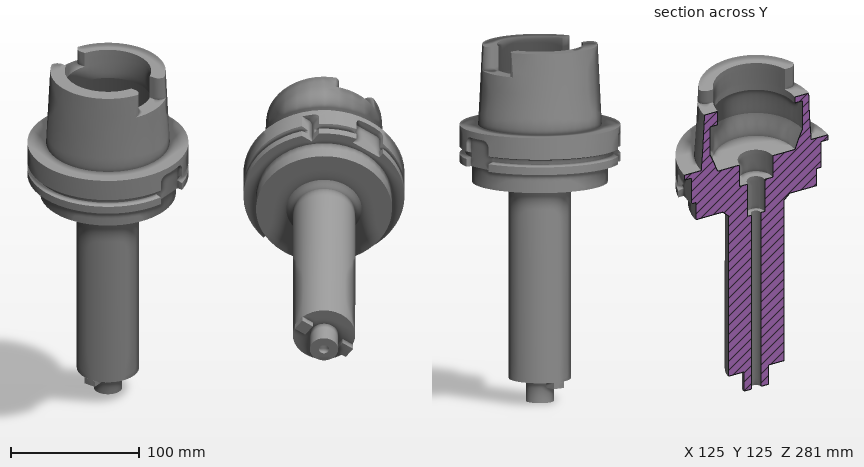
import cadquery as cq


taper_length = 63.0
taper_base_radius = 48.0
taper_ratio = 10.0
taper_tip_radius = taper_base_radius - taper_length / taper_ratio / 2

bore_radius = 33.5
undercut_radius = 40.0
undercut_top = taper_length - 25.0
undercut_bottom = taper_length - 51.0
undercut_slope_height = 17.0
bore_floor = undercut_bottom - undercut_slope_height

seat_radius = 14.2
seat_depth = 20.0
counterbore_radius = 7.2
counterbore_depth = 30.0
through_radius = 4.0

flange_radius = 62.5
flange_thickness = 29.0
groove_root_radius = 58.0
groove_middle = -20.0
groove_mouth_width = 6.0
groove_root_width = 3.5

nose_radius = 52.75
nose_bottom = -45.0
neck_top_radius = 29.25
neck_bottom = -50.0
shaft_radius = 24.25
shaft_bottom = -200.0

pilot_radius = 11.0
pilot_length = 18.0
key_width = 10.0
key_length = 10.0
key_height = 5.0

drive_slot_width = 24.4
drive_slot_edge_radius = 6.0
drive_slot_flat_distance = 41.3
drive_slot_depth_minus_x = 12.0
drive_slot_depth_plus_x = 19.0

keyway_width_minus_x = 25.0
keyway_width_plus_x = 28.0
keyway_floor_distance = 56.5
keyway_top = -5.0
keyway_corner_radius_minus_x = 3.5
keyway_corner_radius_plus_x = 6.0
notch_corner_radius = 3.5
notch_wall_y = 39.3
notch_floor_distance = 39.0

bottom = shaft_bottom - pilot_length
flange_bottom = -flange_thickness
clearance = 5.0


def revolved(profile):
    """Full turn about Z of (radius, height) points, starting from the -Y side."""
    solid = cq.Workplane("XZ").polyline(profile).close().revolve(360, (0, 0), (0, 1))
    return solid.rotate((0, 0, 0), (0, 0, 1), -90)


def turned_body():
    """Solid of revolution with the outer profile of the holder."""
    half_mouth = groove_mouth_width / 2
    half_root = groove_root_width / 2
    profile = [
        (0, bottom),
        (pilot_radius, bottom),
        (pilot_radius, shaft_bottom),
        (shaft_radius, shaft_bottom),
        (shaft_radius, neck_bottom),
        (neck_top_radius, nose_bottom),
        (nose_radius, nose_bottom),
        (nose_radius, flange_bottom),
        (flange_radius, flange_bottom),
        (flange_radius, groove_middle - half_mouth),
        (groove_root_radius, groove_middle - half_root),
        (groove_root_radius, groove_middle + half_root),
        (flange_radius, groove_middle + half_mouth),
        (flange_radius, 0),
        (taper_base_radius, 0),
        (taper_tip_radius, taper_length),
        (0, taper_length),
    ]
    return revolved(profile)


def turned_cavity():
    """Clamping bore with its undercut, and the stepped coolant passage."""
    seat_bottom = bore_floor - seat_depth
    counterbore_bottom = seat_bottom - counterbore_depth
    profile = [
        (0, bottom - clearance),
        (through_radius, bottom - clearance),
        (through_radius, counterbore_bottom),
        (counterbore_radius, counterbore_bottom),
        (counterbore_radius, seat_bottom),
        (seat_radius, seat_bottom),
        (seat_radius, bore_floor),
        (bore_radius, bore_floor),
        (undercut_radius, undercut_bottom),
        (undercut_radius, undercut_top),
        (bore_radius, undercut_top),
        (bore_radius, taper_length + clearance),
        (0, taper_length + clearance),
    ]
    return revolved(profile)


def drive_slot(depth):
    """Cutter for a rim slot on +X whose walls round outward into a flat across the rim."""
    half_width = drive_slot_width / 2
    radius = drive_slot_edge_radius
    wall_end = drive_slot_flat_distance - radius
    half_slot = (
        cq.Workplane("XY", origin=(0, 0, taper_length - depth))
        .lineTo(0, half_width)
        .lineTo(wall_end, half_width)
        .radiusArc((drive_slot_flat_distance, half_width + radius), -radius)
        .lineTo(drive_slot_flat_distance, flange_radius)
        .lineTo(flange_radius, flange_radius)
        .lineTo(flange_radius, 0)
        .close()
        .extrude(depth + clearance)
    )
    return half_slot.union(half_slot.mirror("XZ"))


def flange_pocket(floor_distance, y_min, y_max, corner_radius):
    """Cutter on -X, open to the underside of the flange, with rounded upper corners."""
    height = keyway_top - flange_bottom
    depth = flange_radius + clearance - floor_distance
    return (
        cq.Workplane("XY")
        .box(depth, y_max - y_min, height, centered=False)
        .edges("|X and >Z")
        .fillet(corner_radius)
        .translate((-floor_distance - depth, y_min, flange_bottom))
    )


def driving_key(side):
    """Key below the shaft face, on the +Y (side = 1) or -Y (side = -1) side."""
    middle = side * (shaft_radius - key_length / 2)
    return (
        cq.Workplane("XY", origin=(0, middle, shaft_bottom - key_height))
        .rect(key_width, key_length)
        .extrude(key_height)
    )


def half_turn(shape):
    return shape.rotate((0, 0, 0), (0, 0, 1), 180)


def keyway(width, corner_radius):
    """Cutter for a flange keyway centered on the -X side."""
    return flange_pocket(keyway_floor_distance, -width / 2, width / 2, corner_radius)


keyway_minus_x = keyway(keyway_width_minus_x, keyway_corner_radius_minus_x)
keyway_plus_x = half_turn(keyway(keyway_width_plus_x, keyway_corner_radius_plus_x))
orientation_notch = flange_pocket(
    notch_floor_distance, notch_wall_y, flange_radius + clearance, notch_corner_radius
)

result = turned_body().cut(turned_cavity())
result = result.cut(drive_slot(drive_slot_depth_plus_x))
result = result.cut(half_turn(drive_slot(drive_slot_depth_minus_x)))
result = result.cut(keyway_minus_x).cut(keyway_plus_x).cut(orientation_notch)
for side in (1, -1):
    result = result.union(driving_key(side))